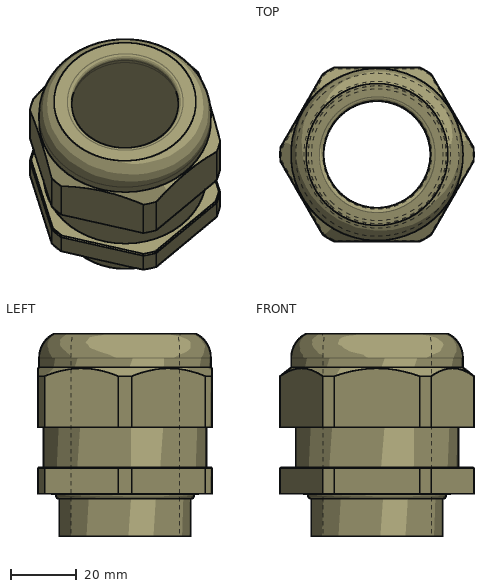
import cadquery as cq
import math

total_height = 61.5
flange_bottom = 12.9
flange_top = 21.05
nut_bottom = 33.0
nut_corner_top = 48.6
nut_top = 51.2
dome_start = 54.1

across_flats = 52.9
corner_diameter = 58.85
flange_chamfer = 0.4

thread_diameter = 40.0
body_diameter = 49.5
dome_diameter = 52.2
dome_flat_diameter = 43.05

washer_diameter = 44.5
washer_thickness = 0.2
ring_bottom = 11.4
ring_section_radius = 1.0

bore_diameter = 33.0
lip_diameter = 32.3
lip_radius = 1.4
bore_top = 58.3


def cylinder(diameter, bottom, top):
    return cq.Workplane("XY").workplane(offset=bottom).circle(diameter / 2).extrude(top - bottom)


def rounded_hexagon(bottom, top):
    """Hexagonal prism with flats facing +Y and -Y and its corners turned round."""
    across_corners = across_flats / math.cos(math.pi / 6)
    prism = cq.Workplane("XY").workplane(offset=bottom).polygon(6, across_corners).extrude(top - bottom)
    return prism.intersect(cylinder(corner_diameter, bottom, top))


def make_nut():
    """Hexagon whose top corners are cut by a cone down from the dome."""
    cone_envelope = (
        cq.Workplane("XZ")
        .moveTo(0, nut_bottom)
        .lineTo(corner_diameter / 2, nut_bottom)
        .lineTo(corner_diameter / 2, nut_corner_top)
        .lineTo(dome_diameter / 2, nut_top)
        .lineTo(0, nut_top)
        .close()
        .revolve(360, (0, 0, 0), (0, 1, 0))
    )
    return rounded_hexagon(nut_bottom, nut_top).intersect(cone_envelope)


def make_dome():
    """Cap with a straight collar and a round shoulder that starts tangent to the collar."""
    collar_radius = dome_diameter / 2
    flat_radius = dome_flat_diameter / 2
    return (
        cq.Workplane("XZ")
        .moveTo(0, nut_top)
        .lineTo(collar_radius, nut_top)
        .lineTo(collar_radius, dome_start)
        .tangentArcPoint((flat_radius, total_height), relative=False)
        .lineTo(0, total_height)
        .close()
        .revolve(360, (0, 0, 0), (0, 1, 0))
    )


def make_flange():
    return rounded_hexagon(flange_bottom, flange_top).faces(">Z").chamfer(flange_chamfer)


def make_seal():
    """Thin washer under the flange with a round sealing ring pressed against the thread."""
    washer_bottom = flange_bottom - washer_thickness
    washer = cylinder(washer_diameter, washer_bottom, flange_bottom)
    ring_height = ring_bottom + ring_section_radius
    ring = (
        cq.Workplane("XZ")
        .center(thread_diameter / 2, ring_height)
        .circle(ring_section_radius)
        .revolve(360, (-thread_diameter / 2, 0, 0), (-thread_diameter / 2, 1, 0))
    )
    return washer.union(ring)


def make_bore():
    """Bore that tapers in to the lip, then flares out around the rounded rim."""
    bore_radius = bore_diameter / 2
    narrow_radius = lip_diameter / 2
    return (
        cq.Workplane("XZ")
        .lineTo(bore_radius, 0)
        .lineTo(bore_radius, bore_top)
        .lineTo(narrow_radius, total_height - lip_radius)
        .radiusArc((narrow_radius + lip_radius, total_height), lip_radius)
        .lineTo(0, total_height)
        .close()
        .revolve(360, (0, 0, 0), (0, 1, 0))
    )


thread = cylinder(thread_diameter, 0, flange_bottom)
body = cylinder(body_diameter, flange_top, nut_bottom)

result = (
    thread.union(make_seal())
    .union(make_flange())
    .union(body)
    .union(make_nut())
    .union(make_dome())
    .cut(make_bore())
)